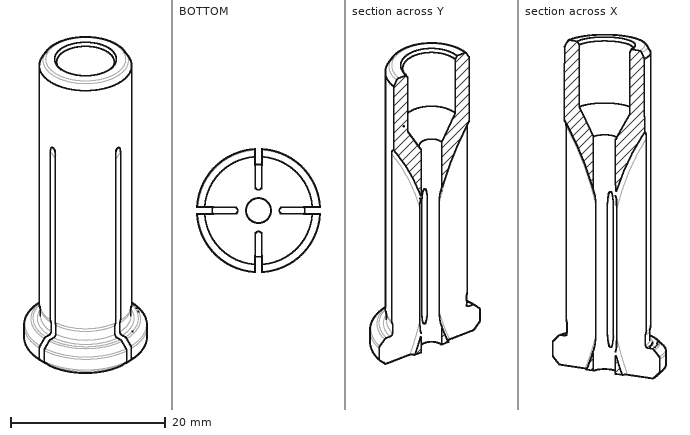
import cadquery as cq
import math

total_height = 44.0
flange_diameter = 16.0
flange_height = 4.0
body_diameter = 12.0
edge_radius = 0.4

flange_chamfer = 1.0

neck_depth = 0.15
neck_top_z = 6.25
neck_runout_angle = 15.0

top_chamfer_height = 1.0
top_chamfer_angle = 30.0

through_diameter = 3.2
bore_diameter = 7.5
bore_depth = 8.8
bore_cone_angle = 60.0
mouth_diameter = 8.0
mouth_angle = 30.0

slot_count = 4
slot_width = 0.9
cutter_radius = 35.0
cutter_z = 13.45


def angle_run(rise, angle):
    """Sideways run of a line that climbs by rise at angle degrees from the climb."""
    return rise * math.tan(math.radians(angle))


def make_outside():
    """Turned outside of flange, neck and body, with its corners softened."""
    flange_radius = flange_diameter / 2
    body_radius = body_diameter / 2
    neck_radius = body_radius - neck_depth
    runout_height = neck_depth / math.tan(math.radians(neck_runout_angle))
    top_radius = body_radius - angle_run(top_chamfer_height, top_chamfer_angle)
    flange_face_radius = flange_radius - flange_chamfer
    lower_rim_z = flange_chamfer
    upper_rim_z = flange_height - flange_chamfer

    profile = (
        cq.Workplane("XZ")
        .polyline(
            [
                (0, 0),
                (flange_face_radius, 0),
                (flange_radius, lower_rim_z),
                (flange_radius, upper_rim_z),
                (flange_face_radius, flange_height),
                (neck_radius, flange_height),
                (neck_radius, neck_top_z - runout_height),
                (body_radius, neck_top_z),
                (body_radius, total_height - top_chamfer_height),
                (top_radius, total_height),
                (0, total_height),
            ]
        )
        .close()
    )
    outside = profile.revolve(360, (0, 0, 0), (0, 1, 0))

    rounded_circles = [
        (flange_radius, lower_rim_z),
        (flange_radius, upper_rim_z),
        (flange_face_radius, flange_height),
        (neck_radius, flange_height),
        (top_radius, total_height),
    ]

    def is_rounded(edge):
        return any(
            math.isclose(edge.radius(), radius) and math.isclose(edge.Center().z, height)
            for radius, height in rounded_circles
        )

    return outside.edges("%CIRCLE").filter(is_rounded).fillet(edge_radius)


def make_bore():
    """Through hole, conical step, wide bore and tapered mouth as one solid."""
    through_radius = through_diameter / 2
    bore_radius = bore_diameter / 2
    mouth_radius = mouth_diameter / 2
    mouth_depth = (mouth_radius - bore_radius) / math.tan(math.radians(mouth_angle))
    cone_top_z = total_height - bore_depth
    cone_height = (bore_radius - through_radius) / math.tan(math.radians(bore_cone_angle / 2))
    return (
        cq.Workplane("XZ")
        .polyline(
            [
                (0, 0),
                (through_radius, 0),
                (through_radius, cone_top_z - cone_height),
                (bore_radius, cone_top_z),
                (bore_radius, total_height - mouth_depth),
                (mouth_radius, total_height),
                (0, total_height),
            ]
        )
        .close()
        .revolve(360, (0, 0, 0), (0, 1, 0))
    )


def make_cutter():
    """Disc with a fully rounded rim, touching the axis from the +X side."""
    half_width = slot_width / 2
    return (
        cq.Workplane("XY")
        .moveTo(cutter_radius, -half_width)
        .lineTo(half_width, -half_width)
        .threePointArc((0, 0), (half_width, half_width))
        .lineTo(cutter_radius, half_width)
        .close()
        .revolve(360, (cutter_radius, 0, 0), (cutter_radius, 1, 0))
        .translate((0, 0, cutter_z))
    )


result = make_outside().cut(make_bore())
cutter = make_cutter()
for index in range(slot_count):
    turn = index * 360 / slot_count
    result = result.cut(cutter.rotate((0, 0, 0), (0, 0, 1), turn))